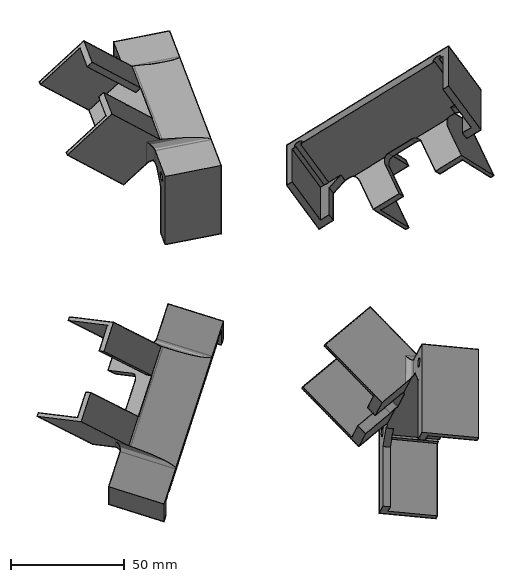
import cadquery as cq
import math

FRAME_WIDTH = 85.7
FRAME_DEPTH = 25.55
FRAME_HEIGHT = 42.9
LEG_WIDTH = 7.6
LEG_FRONT_THICKNESS = 3.35
LEG_SIDE_THICKNESS = 3.0
BEAM_THICKNESS = 7.8
GUSSET = 6.2
PIN_DIAMETER = 4.0
PIN_INSET = 6.2

TILT = 45.0
CHANNEL_WIDTH = 46.6
CHANNEL_LENGTH = 28.7
CHANNEL_HEIGHT = 36.3
WALL_THICKNESS = 1.7
FLOOR_THICKNESS = 5.0
BACK_THICKNESS = 3.2
SLOT_WIDTH = 19.2
SLOT_START = 9.6
SLOT_CORNER_RADIUS = 3.4
SLOT_OVERCUT = 0.4

BLEND_RADIUS = 3.1
RAMP_LENGTH = 21.6

OVERALL_DEPTH = 64.7
OVERALL_HEIGHT = 67.9

TILT_COS = math.cos(math.radians(TILT))
TILT_SIN = math.sin(math.radians(TILT))
HEEL_Y = -OVERALL_DEPTH + CHANNEL_LENGTH * TILT_COS + CHANNEL_HEIGHT * TILT_SIN
HEEL_Z = OVERALL_HEIGHT - CHANNEL_HEIGHT * TILT_COS

BEAM_BOTTOM = FRAME_HEIGHT - BEAM_THICKNESS
SADDLE_TOP = FRAME_HEIGHT + BLEND_RADIUS
SADDLE_FRONT = FRAME_DEPTH + BLEND_RADIUS


def make_frame():
    half_width = FRAME_WIDTH / 2
    leg_inside = half_width - LEG_WIDTH
    frame = (
        cq.Workplane("XZ")
        .moveTo(-half_width, 0)
        .lineTo(-half_width, FRAME_HEIGHT)
        .lineTo(half_width, FRAME_HEIGHT)
        .lineTo(half_width, 0)
        .lineTo(leg_inside, 0)
        .lineTo(leg_inside, BEAM_BOTTOM - GUSSET)
        .lineTo(leg_inside - GUSSET, BEAM_BOTTOM)
        .lineTo(-leg_inside + GUSSET, BEAM_BOTTOM)
        .lineTo(-leg_inside, BEAM_BOTTOM - GUSSET)
        .lineTo(-leg_inside, 0)
        .close()
        .extrude(FRAME_DEPTH)
    )
    pin_x = half_width - PIN_INSET
    pin_z = FRAME_HEIGHT - PIN_INSET
    pins = (
        cq.Workplane("XZ")
        .pushPoints([(-pin_x, pin_z), (pin_x, pin_z)])
        .circle(PIN_DIAMETER / 2)
        .extrude(FRAME_DEPTH)
    )
    leg_hollow = cq.Workplane("XY").box(
        FRAME_WIDTH - 2 * LEG_SIDE_THICKNESS,
        FRAME_DEPTH - LEG_FRONT_THICKNESS,
        BEAM_BOTTOM,
        centered=(True, False, False),
    ).translate((0, LEG_FRONT_THICKNESS - FRAME_DEPTH, 0))
    return frame.cut(pins).cut(leg_hollow)


def flared_prism(plane, shoulder, length, outward=1):
    """Block that narrows to the channel width through concave arcs beyond its shoulder."""
    narrow = CHANNEL_WIDTH / 2
    wide = narrow + BLEND_RADIUS
    tip = shoulder + BLEND_RADIUS
    arc_x = wide - BLEND_RADIUS * math.sqrt(0.5)
    arc_end = tip - BLEND_RADIUS * math.sqrt(0.5)
    return (
        cq.Workplane(plane)
        .moveTo(-wide, 0)
        .lineTo(wide, 0)
        .lineTo(wide, outward * shoulder)
        .threePointArc((arc_x, outward * arc_end), (narrow, outward * tip))
        .lineTo(-narrow, outward * tip)
        .threePointArc((-arc_x, outward * arc_end), (-wide, outward * shoulder))
        .close()
        .extrude(length)
    )


def make_saddle():
    underside_start = HEEL_Y - (HEEL_Z - BEAM_BOTTOM) / math.tan(math.radians(TILT))
    underside_z = HEEL_Z - (SADDLE_FRONT + HEEL_Y) * math.tan(math.radians(TILT))
    side_profile = [
        (0, BEAM_BOTTOM),
        (0, FRAME_HEIGHT),
        (-RAMP_LENGTH, SADDLE_TOP),
        (-SADDLE_FRONT, SADDLE_TOP),
        (-SADDLE_FRONT, underside_z),
        (underside_start, BEAM_BOTTOM),
    ]
    ramp = cq.Workplane("YZ").polyline(side_profile).close().extrude(FRAME_WIDTH / 2, both=True)
    top_flare = flared_prism("XZ", FRAME_HEIGHT, SADDLE_FRONT)
    front_flare = flared_prism("XY", FRAME_DEPTH, SADDLE_TOP, outward=-1)
    return ramp.intersect(top_flare).intersect(front_flare)


def channel_box(width, start, end, bottom, top):
    """Box in the untilted channel, running forward from the heel."""
    return cq.Workplane("XY").box(width, end - start, top - bottom).translate(
        (0, -(start + end) / 2, (bottom + top) / 2)
    )


def tilt(body):
    """Tip an untilted channel body and move it onto the heel."""
    return body.rotate((0, 0, 0), (1, 0, 0), TILT).translate((0, HEEL_Y, HEEL_Z))


def make_channel_openings():
    pocket = channel_box(
        CHANNEL_WIDTH - 2 * WALL_THICKNESS,
        BACK_THICKNESS,
        CHANNEL_LENGTH,
        FLOOR_THICKNESS,
        CHANNEL_HEIGHT,
    )
    back_gap = channel_box(SLOT_WIDTH, 0, CHANNEL_LENGTH, FLOOR_THICKNESS, CHANNEL_HEIGHT)
    floor_slot = (
        channel_box(SLOT_WIDTH, SLOT_START, CHANNEL_LENGTH, -SLOT_OVERCUT, FLOOR_THICKNESS)
        .edges("|Z and >Y")
        .fillet(SLOT_CORNER_RADIUS)
    )
    return [pocket, back_gap, floor_slot]


channel_blank = channel_box(CHANNEL_WIDTH, 0, CHANNEL_LENGTH, 0, CHANNEL_HEIGHT)
result = make_frame().union(make_saddle()).union(tilt(channel_blank))
for opening in make_channel_openings():
    result = result.cut(tilt(opening))